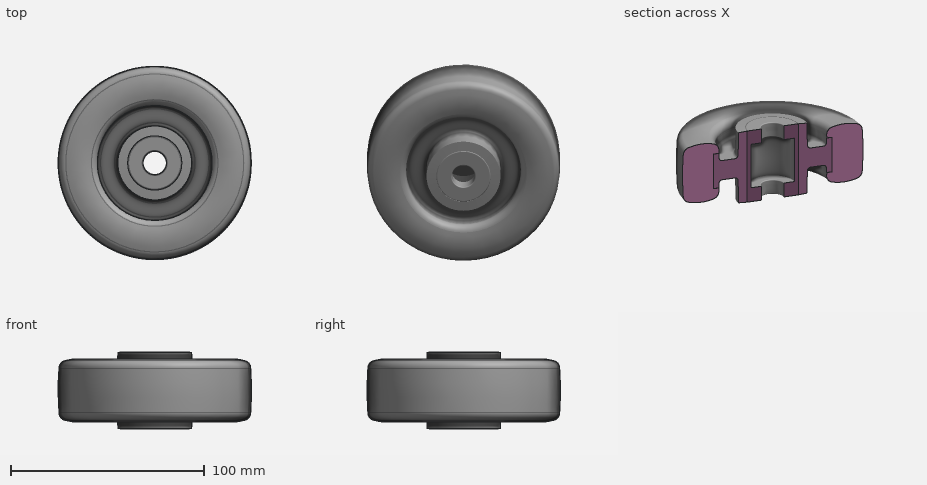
import cadquery as cq

tread_radius = 49.9
tread_edge_radius = 49.5
tread_half_width = 11.3
side_outer_radius = 45.9
side_inner_radius = 32.7
side_edge_height = 15.5
side_top_height = 16.4
shoulder_middle = (48.4, 14.2)
lip_middle = (30.2, 13.5)
lip_radius = 29.7
lip_end_height = 10.5

hub_half_length = 20.0
hub_end_radius = 19.1
hub_root_radius = 19.4
hub_end_slope_drop = 0.3
web_half_thickness = 5.5
web_fillet = 1.5
rim_half_width = 9.5
rim_root_radius = 29.4
rim_outer_radius = side_inner_radius

bushing_radius = 14.0
bushing_bore_radius = 6.0
bushing_rounding = 0.5
collar_length = 8.0
relief_radius = 12.0


def turn(profile):
    """Revolve a closed profile of (radius, height) points about the Z axis."""
    return profile.revolve(360, (0, 0, 0), (0, 1, 0))


def mirrored(point):
    """Reflect a (radius, height) point in Z = 0."""
    radius, height = point
    return (radius, -height)


def mirrored_outline(points):
    """Close an upper half outline of (radius, height) points with its mirror image below Z = 0."""
    lower_points = [mirrored(point) for point in reversed(points)]
    return cq.Workplane("XZ").polyline(points + lower_points).close()


def make_tyre():
    """Crowned tyre with rounded shoulders, bulged sides and lips that cover the rim ends."""
    side_middle_radius = (side_outer_radius + side_inner_radius) / 2
    outline = (
        cq.Workplane("XZ")
        .moveTo(rim_outer_radius, -rim_half_width)
        .lineTo(rim_outer_radius, rim_half_width)
        .lineTo(lip_radius, rim_half_width)
        .lineTo(lip_radius, lip_end_height)
        .threePointArc(lip_middle, (side_inner_radius, side_edge_height))
        .threePointArc((side_middle_radius, side_top_height), (side_outer_radius, side_edge_height))
        .threePointArc(shoulder_middle, (tread_edge_radius, tread_half_width))
        .threePointArc((tread_radius, 0), (tread_edge_radius, -tread_half_width))
        .threePointArc(mirrored(shoulder_middle), (side_outer_radius, -side_edge_height))
        .threePointArc((side_middle_radius, -side_top_height), (side_inner_radius, -side_edge_height))
        .threePointArc(mirrored(lip_middle), (lip_radius, -lip_end_height))
        .lineTo(lip_radius, -rim_half_width)
        .close()
    )
    return turn(outline)


def make_core():
    """Hub, web and rim in one piece, with filleted web corners."""
    outline = mirrored_outline([
        (bushing_radius, hub_half_length),
        (hub_end_radius, hub_half_length - hub_end_slope_drop),
        (hub_root_radius, web_half_thickness),
        (rim_root_radius, web_half_thickness),
        (lip_radius, rim_half_width),
        (rim_outer_radius, rim_half_width),
    ])
    reach = web_half_thickness + web_fillet
    web_corners = cq.selectors.BoxSelector((-1, -1, -reach), (1, 1, reach))
    return turn(outline).edges(web_corners).fillet(web_fillet)


def make_bushing():
    """Bushing flush with the hub ends: a collar at each end and a relieved bore between them."""
    relief_half_length = hub_half_length - collar_length
    outline = mirrored_outline([
        (relief_radius, relief_half_length),
        (bushing_bore_radius, relief_half_length),
        (bushing_bore_radius, hub_half_length),
        (bushing_radius, hub_half_length),
    ])
    bore_edges = cq.selectors.RadiusNthSelector(0)
    outer_edges = cq.selectors.RadiusNthSelector(-1)
    bushing = turn(outline)
    bushing = bushing.edges("%CIRCLE").edges(bore_edges).fillet(bushing_rounding)
    return bushing.edges("%CIRCLE").edges(outer_edges).fillet(bushing_rounding)


tyre = make_tyre()
core = make_core()
bushing = make_bushing()

result = cq.Compound.makeCompound([tyre.val(), core.val(), bushing.val()])